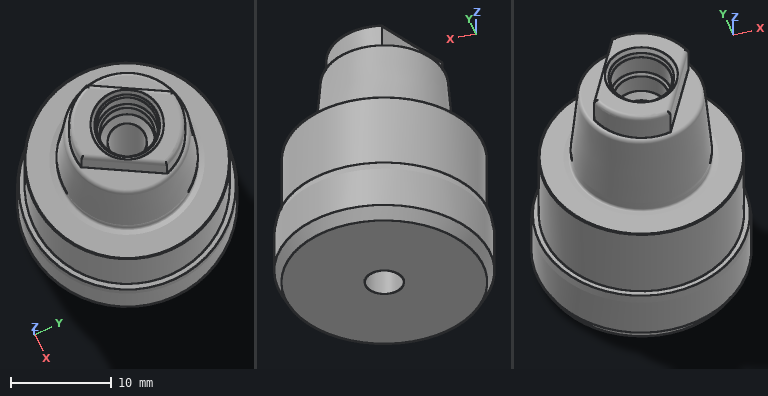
import cadquery as cq

height = 27.95

band_radius = 11.0
base_radius = 10.29
band_chamfer_height = 1.4
band_straight_top = 5.9
band_top = 6.82
band_top_radius = 10.85

barrel_radius = 10.25
barrel_top = 15.45
barrel_chamfer = 0.08

recess_radius = 7.77
recess_depth = 0.1

neck_radius = 7.0
neck_fillet = 0.25
neck_top = 16.0
cone_base_radius = 7.07
cone_start = 16.52
shoulder_height = 25.02
shoulder_fillet = 0.45
cone_top_radius = 6.4

boss_radius = 5.8
across_flats = 7.83
flats_angle = 60.0
boss_fillet = 0.5

mouth_radius = 3.65
mouth_break_radius = 3.27
mouth_break_depth = 0.42
bore_radius = 3.07
mouth_depth = 0.85
bore_depth = 3.07
lower_bore_radius = 2.77
lower_bore_top_depth = bore_depth + bore_radius - lower_bore_radius
lower_bore_depth = 5.6
through_radius = 1.95
bore_floor_cone_height = 0.5
through_depth = lower_bore_depth + bore_floor_cone_height


def make_body():
    """Revolve the outer profile up to the shoulder below the boss."""
    recess_floor = barrel_top - recess_depth
    fillet_bend = neck_fillet * (1 - 0.5 ** 0.5)
    shoulder_bend = shoulder_fillet * (1 - 0.5 ** 0.5)
    return (
        cq.Workplane("XZ")
        .moveTo(0, 0)
        .lineTo(base_radius, 0)
        .lineTo(band_radius, band_chamfer_height)
        .lineTo(band_radius, band_straight_top)
        .lineTo(band_top_radius, band_top)
        .lineTo(barrel_radius, band_top)
        .lineTo(barrel_radius, barrel_top - barrel_chamfer)
        .lineTo(barrel_radius - barrel_chamfer, barrel_top)
        .lineTo(recess_radius, barrel_top)
        .lineTo(neck_radius + neck_fillet, recess_floor)
        .threePointArc(
            (neck_radius + fillet_bend, recess_floor + fillet_bend),
            (neck_radius, recess_floor + neck_fillet),
        )
        .lineTo(neck_radius, neck_top)
        .lineTo(cone_base_radius, cone_start)
        .lineTo(cone_top_radius, shoulder_height - shoulder_fillet)
        .threePointArc(
            (cone_top_radius - shoulder_bend, shoulder_height - shoulder_bend),
            (cone_top_radius - shoulder_fillet, shoulder_height),
        )
        .lineTo(0, shoulder_height)
        .close()
        .revolve(360, (0, 0, 0), (0, 1, 0))
    )


def make_boss():
    """Round boss cut to two parallel flats, with a rounded top edge."""
    boss_height = height - shoulder_height
    flats = (
        cq.Workplane("XY")
        .rect(2 * boss_radius, across_flats)
        .extrude(boss_height)
    )
    return (
        cq.Workplane("XY")
        .circle(boss_radius)
        .extrude(boss_height)
        .intersect(flats)
        .faces(">Z")
        .edges()
        .fillet(boss_fillet)
        .rotate((0, 0, 0), (0, 0, 1), flats_angle)
        .translate((0, 0, shoulder_height))
    )


def make_bore():
    """Revolve the stepped bore with its two-stage tapered mouth."""
    return (
        cq.Workplane("XZ")
        .moveTo(0, height)
        .lineTo(mouth_radius, height)
        .lineTo(mouth_break_radius, height - mouth_break_depth)
        .lineTo(bore_radius, height - mouth_depth)
        .lineTo(bore_radius, height - bore_depth)
        .lineTo(lower_bore_radius, height - lower_bore_top_depth)
        .lineTo(lower_bore_radius, height - lower_bore_depth)
        .lineTo(through_radius, height - through_depth)
        .lineTo(through_radius, 0)
        .lineTo(0, 0)
        .close()
        .revolve(360, (0, 0, 0), (0, 1, 0))
    )


result = make_body().union(make_boss()).cut(make_bore())